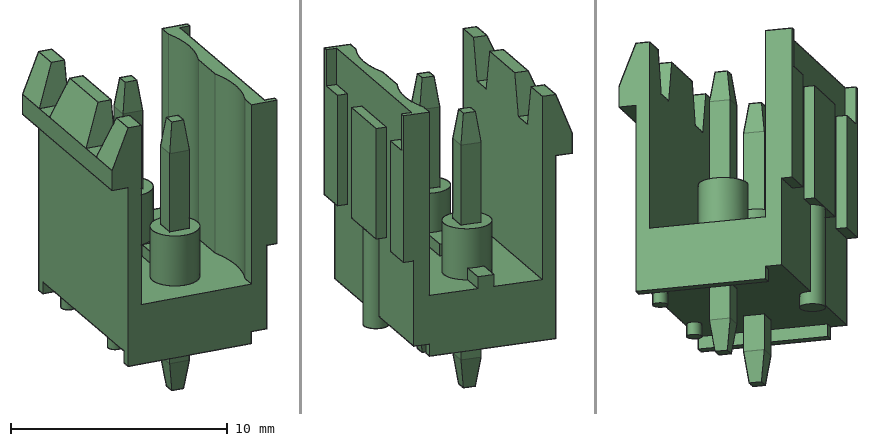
import cadquery as cq

width = 9.75
height = 12.0
overall_depth = 8.4
overall_height = 14.6
back_face = 4.1
hook_face = back_face - overall_depth
half_width = width / 2

pitch = 5.08
pin_positions = [-pitch / 2, pitch / 2]
pin_size = 1.01
pin_tip_size = 0.6
pin_taper = 1.47
pin_top = 10.9
pin_bottom = height - overall_height

underside = 0.6
floor_top = 3.0
hook_reach = 0.82
front_wall = 0.67
back_wall_depth = 1.3
front_face = hook_face + hook_reach
front_inner_face = front_face + front_wall
back_inner_face = back_face - back_wall_depth
foot_width = 0.47

hook_bottom = 9.0
hook_shoulder = 10.0
notch_top_width = 2.0
notch_floor_width = 1.11
notch_offset = 0.06

hollow_width = 3.27
hollow_depth = 0.29

tower_diameter = 2.3
tower_top = 5.5
bar_width = 0.8
bar_top = 3.58
bar_reach = 2.72

pad_depth = 0.51
pad_bottom = 4.79
pad_top = 10.22
end_rib_width = 0.26
end_pad_width = 1.6
middle_pad_width = 3.02
back_wall_face = back_face - pad_depth

small_stud_diameter = 0.7
small_stud_inset = 0.42
small_stud_y = front_face + small_stud_inset
large_stud_diameter = 1.2
large_stud_y = back_face - large_stud_diameter / 2


def box(x_range, y_range, z_range):
    """Box between the given lower and upper limits on each axis."""
    (x0, x1), (y0, y1), (z0, z1) = x_range, y_range, z_range
    return cq.Workplane("XY").box(x1 - x0, y1 - y0, z1 - z0, centered=False).translate((x0, y0, z0))


def cylinder(diameter, x, y, z_range):
    """Upright cylinder between two heights."""
    z0, z1 = z_range
    return cq.Workplane("XY", origin=(x, y, z0)).circle(diameter / 2).extrude(z1 - z0)


def make_shell():
    """U-shaped section in YZ with the hook on its front wall, run along the full width."""
    return (
        cq.Workplane("YZ", origin=(-half_width, 0, 0))
        .moveTo(front_face, underside)
        .lineTo(back_wall_face, underside)
        .lineTo(back_wall_face, height)
        .lineTo(back_inner_face, height)
        .lineTo(back_inner_face, floor_top)
        .lineTo(front_inner_face, floor_top)
        .lineTo(front_inner_face, height)
        .lineTo(front_face, height)
        .lineTo(hook_face, hook_shoulder)
        .lineTo(hook_face, hook_bottom)
        .lineTo(front_face, hook_bottom)
        .close()
        .extrude(width)
    )


def make_notch(pin_x):
    """Tapered opening through the hook and front wall, down to the hook shoulder."""
    return (
        cq.Workplane("XZ", origin=(pin_x + notch_offset, front_inner_face, 0))
        .moveTo(-notch_floor_width / 2, hook_shoulder)
        .lineTo(notch_floor_width / 2, hook_shoulder)
        .lineTo(notch_top_width / 2, height)
        .lineTo(-notch_top_width / 2, height)
        .close()
        .extrude(front_inner_face - hook_face)
    )


def make_hollow(pin_x):
    """Shallow arc cut in the inner face of the back wall, above the floor."""
    return (
        cq.Workplane("XY", origin=(pin_x, back_inner_face, floor_top))
        .moveTo(-hollow_width / 2, 0)
        .threePointArc((0, hollow_depth), (hollow_width / 2, 0))
        .close()
        .extrude(height - floor_top)
    )


def make_coding_bar(pin_x):
    """Low bar on the floor, from the tower toward -X, ending at the housing side at the latest."""
    bar_start = max(pin_x - bar_reach, -half_width)
    return box((bar_start, pin_x), (-bar_width / 2, bar_width / 2), (floor_top, bar_top))


def add_back_pads(body):
    """Three pads on the back wall and a full-height rib at each end."""
    pad_y = (back_wall_face, back_face)
    pad_z = (pad_bottom, pad_top)
    body = body.union(box((-middle_pad_width / 2, middle_pad_width / 2), pad_y, pad_z))
    left_pad = box((-half_width, -half_width + end_pad_width), pad_y, pad_z)
    left_rib = box((-half_width, -half_width + end_rib_width), pad_y, (pad_bottom, height))
    left_end = left_pad.union(left_rib)
    return body.union(left_end).union(left_end.mirror("YZ"))


def add_feet_and_studs(body):
    """Foot strip along each side, a small stud by each pin and a large half-sunk stud at the back."""
    left_foot = box((-half_width, -half_width + foot_width), (front_face, back_inner_face), (0, underside))
    body = body.union(left_foot).union(left_foot.mirror("YZ"))
    for pin_x in pin_positions:
        body = body.union(cylinder(small_stud_diameter, pin_x, small_stud_y, (0, floor_top)))
    return body.union(cylinder(large_stud_diameter, 0, large_stud_y, (0, pad_bottom)))


def make_pin(pin_x):
    """Square contact pin with a tapered tip at each end."""
    shank_bottom = pin_bottom + pin_taper
    shank_top = pin_top - pin_taper
    shank = (
        cq.Workplane("XY", origin=(pin_x, 0, shank_bottom))
        .rect(pin_size, pin_size)
        .extrude(shank_top - shank_bottom)
    )
    top_tip = (
        cq.Workplane("XY", origin=(pin_x, 0, shank_top))
        .rect(pin_size, pin_size)
        .workplane(offset=pin_taper)
        .rect(pin_tip_size, pin_tip_size)
        .loft()
    )
    bottom_tip = (
        cq.Workplane("XY", origin=(pin_x, 0, pin_bottom))
        .rect(pin_tip_size, pin_tip_size)
        .workplane(offset=pin_taper)
        .rect(pin_size, pin_size)
        .loft()
    )
    return shank.union(top_tip).union(bottom_tip)


def make_housing():
    """Connector housing with a square hole for each pin."""
    body = add_feet_and_studs(add_back_pads(make_shell()))
    for pin_x in pin_positions:
        body = body.cut(make_notch(pin_x)).cut(make_hollow(pin_x))
        body = body.union(cylinder(tower_diameter, pin_x, 0, (floor_top, tower_top)))
        body = body.union(make_coding_bar(pin_x))
    for pin in pins:
        body = body.cut(pin)
    return body


pins = [make_pin(pin_x) for pin_x in pin_positions]
housing = make_housing()

result = cq.Compound.makeCompound([housing.solids().val(), *[pin.solids().val() for pin in pins]])